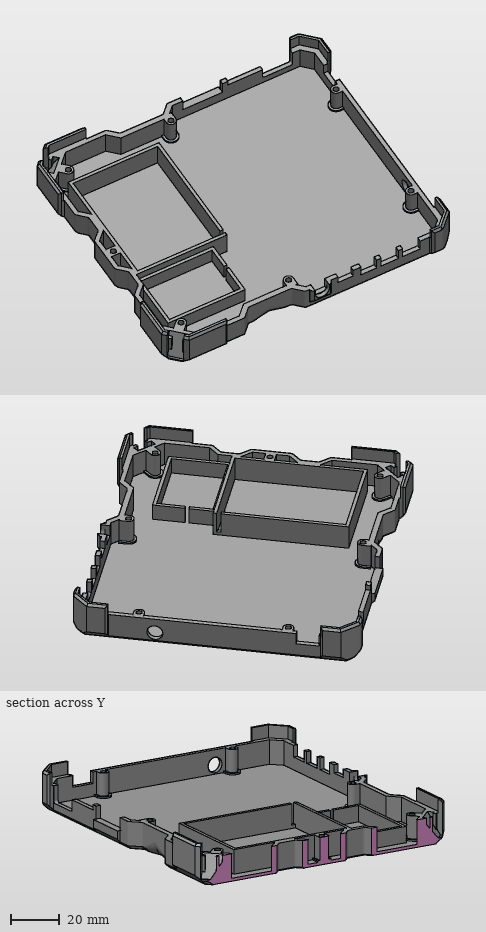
import cadquery as cq
import math


width = 120.0
depth = 135.0
guard_height = 17.5

guard_bevel = 1.0
lid_lip = 1.0
lid_gap = 0.5
guard_step = guard_bevel + lid_lip + lid_gap
base_chamfer = 4.0
corner_chamfer = 1.9
wall = 2.0
wall_height = 12.0
floor = 1.5
rear_leg = 7.0
front_leg = 8.4
leg_growth = 2 - math.sqrt(2)
rear_guard_round = 3.2

guard_x = width / 2
guard_y = depth / 2
wall_x = guard_x - guard_step
wall_y = guard_y - guard_step
inside_x = wall_x - wall
inside_y = wall_y - wall
inside_front_leg = 11.1

rear_guard_end_x = 44.4
rear_guard_end_y = 55.6
front_guard_end_x = 33.2
front_guard_end_y = 40.8

recess_depth = 4.2
recess_round = 1.4
front_recess_x = 16.6
front_recess_half = 8.1
side_recess_y = -17.3
side_recess_half = 14.3
front_recess_bevel = 0.5
side_recess_bevel = 1.6
side_recess_wall = 2.4
grip_height = 6.2
grip_depth = 3.5
grip_end_scale = 0.2
grip_arc_mid = (0.27, 0.43)

hole_d = 2.4
boss_d = 4.5
boss_foot_d = 6.6
foot_height = 2.2
rear_boss_x = (-30.0, 32.3)
rear_boss_y = 61.2
side_boss = (48.9, -6.0)
corner_boss = (46.8, -55.5)
front_boss_y = -60.9
boss_reach = 2.7
side_boss_reach = 3.6
corner_boss_reach = 4.6

box_wall = 1.5
box_front = -58.9
large_box = (-41.0, 15.5, -16.0)
small_box = (large_box[1], 42.0, -22.5)
small_box_height = 8.5
wire_gap = 1.6
wire_gap_x = 27.7
wire_slit = 1.8
wire_slit_bottom = 3.0

strap_mouth = 7.0
strap_throat = 4.6
strap_bar = 8.6
strap_back = 6.6
strap_bar_depth = 2.7
strap_bottom = 2.5
strap_ramp = 5.7

deep_opening = (41.0, 55.1, 4.6)
shallow_opening = (24.7, 41.0, 9.7)
ledge_opening = (3.4, 22.1, 6.5)
jack_opening = (0.7, 7.3, 7.0)
right_openings = ((42.9, 51.2, 7.0), (32.8, 40.9, 7.0), (23.2, 30.6, 7.0), (12.4, 19.6, 8.5), jack_opening)
opening_round = 1.0
ledge_x = -58.9
ledge_top = ledge_opening[2]
rear_opening = (-43.5, -33.9, 7.0)

jack_z = 9.9
jack_d = jack_opening[1] - jack_opening[0]
jack_y = (jack_opening[0] + jack_opening[1]) / 2
jack_collar = 10.1
jack_collar_x = 59.4
jack_collar_bottom = 4.6
jack_collar_bevel = 1.4
rear_hole_x = 25.0
rear_hole_z = 5.4
rear_hole_d = 6.6


def box(x0, x1, y0, y1, z0, z1):
    size = (x1 - x0, y1 - y0, z1 - z0)
    return cq.Workplane("XY").box(*size, centered=False).translate((x0, y0, z0))


def prism(points, z0, z1):
    return cq.Workplane("XY").workplane(offset=z0).polyline(points).close().extrude(z1 - z0)


def cut_corner_block(half_x, half_y, rear, front, z0, z1):
    """Rectangular block with its four upright corners cut at 45 degrees."""
    points = [
        (half_x, half_y - rear), (half_x - rear, half_y),
        (rear - half_x, half_y), (-half_x, half_y - rear),
        (-half_x, front - half_y), (front - half_x, -half_y),
        (half_x - front, -half_y), (half_x, front - half_y),
    ]
    return prism(points, z0, z1)


def offset_block(inset, z0, z1):
    """Guard outline moved inward by the inset."""
    shrink = leg_growth * inset
    return cut_corner_block(guard_x - inset, guard_y - inset, rear_leg - shrink, front_leg - shrink, z0, z1)


def guard_region(sign_x, end_x, sign_y, end_y):
    """Plan area of one guard, with its two ends bevelled."""
    points = [
        (end_x, end_y), (end_x, guard_y - guard_bevel), (end_x + guard_bevel, guard_y),
        (guard_x, guard_y), (guard_x, end_y + guard_bevel), (guard_x - guard_bevel, end_y),
    ]
    return prism([(sign_x * x, sign_y * y) for x, y in points], 0, guard_height)


def make_guards():
    block = offset_block(0, 0, guard_height)
    side_edges = cq.selectors.BoxSelector(
        (-width, guard_y - rear_leg - lid_gap, 0), (width, guard_y - rear_leg + lid_gap, guard_height))
    rounded = block.edges("|Z").edges(side_edges).fillet(rear_guard_round)
    block = block.faces("<Z").edges().chamfer(corner_chamfer)
    square = box(-guard_x, guard_x, -guard_y, guard_y, 0, guard_height)
    block = block.intersect(square.faces("<Z").edges().chamfer(base_chamfer))
    block = block.faces(">Z").edges().chamfer(guard_bevel)
    block = block.intersect(rounded)
    block = block.cut(offset_block(guard_step - lid_gap, wall_height, guard_height))
    guards = []
    for sign in (-1, 1):
        guards.append(block.intersect(guard_region(sign, rear_guard_end_x, 1, rear_guard_end_y)))
        guards.append(block.intersect(guard_region(sign, front_guard_end_x, -1, front_guard_end_y)))
    return guards


def recess_points(half, growth=0.0):
    """Trapezoid opening toward -Y at the origin, with its back and 45 degree sides moved outward."""
    mouth_half = half + growth * math.sqrt(2)
    back = recess_depth + growth
    return [(-mouth_half - back, -back), (mouth_half + back, -back),
            (mouth_half - back, back), (back - mouth_half, back)]


def recess_cutter(half, bevel):
    """Recess with rounded upright corners and a bevel at the floor underside."""
    flange = half + 2 * recess_round
    cutter = prism(recess_points(half), 0, wall_height)
    cutter = cutter.cut(box(-2 * half, 2 * half, -2 * recess_depth, 0, 0, wall_height))
    cutter = cutter.union(box(-flange, flange, -recess_depth, 0, 0, wall_height))
    inner_half = half + recess_round
    edges = cq.selectors.BoxSelector(
        (-inner_half, -recess_round, 0), (inner_half, 2 * recess_depth, wall_height))
    cutter = cutter.edges("|Z").edges(edges).fillet(recess_round)
    flare = cq.Workplane("XY").polyline(recess_points(half, bevel)).close().extrude(bevel, taper=45)
    return cutter.union(flare)


def recess_lining(half, thickness):
    return prism(recess_points(half, thickness), floor, wall_height)


def recess_places(front_tool, side_tool):
    """Two copies of the front tool on the front wall and one side tool on each side wall."""
    placed = []
    for sign in (-1, 1):
        placed.append(front_tool.translate((sign * front_recess_x, -wall_y, 0)))
        turned = side_tool.rotate((0, 0, 0), (0, 0, 1), 90 * sign)
        placed.append(turned.translate((sign * wall_x, side_recess_y, 0)))
    return placed


def make_grip(sign):
    """Rounded undercut on the bottom edge of a side recess, tallest at the middle."""
    half = side_recess_half - recess_depth
    face_x = wall_x - recess_depth

    def section(y, scale):
        h = grip_height * scale
        d = grip_depth * scale
        plane = cq.Plane((face_x, y, 0), xDir=(-1, 0, 0), normal=(0, 1, 0))
        return (cq.Workplane(plane).moveTo(0, 0).lineTo(0, h)
                .threePointArc((grip_arc_mid[0] * d, grip_arc_mid[1] * h), (d, 0)).close().wires().val())

    tool = cq.Workplane("XY")
    for end in (-1, 1):
        end_section = section(side_recess_y + end * half, grip_end_scale)
        loft = cq.Solid.makeLoft([section(side_recess_y, 1), end_section], True)
        tool = tool.add(cq.Workplane(loft))
    tool = tool.combine()
    return tool if sign > 0 else tool.mirror("YZ")


def make_tray():
    tray = offset_block(guard_step, 0, wall_height).faces("<Z").edges().chamfer(base_chamfer - guard_step)
    for guard in make_guards():
        tray = tray.union(guard)
    front_cutter = recess_cutter(front_recess_half, front_recess_bevel)
    side_cutter = recess_cutter(side_recess_half, side_recess_bevel)
    for cutter in recess_places(front_cutter, side_cutter):
        tray = tray.cut(cutter)
    inset = guard_step + wall
    cavity = cut_corner_block(
        inside_x, inside_y, rear_leg - leg_growth * inset, inside_front_leg, floor, wall_height)
    front_lining = recess_lining(front_recess_half, wall)
    side_lining = recess_lining(side_recess_half, side_recess_wall)
    for lining in recess_places(front_lining, side_lining):
        cavity = cavity.cut(lining)
    return tray.cut(cavity)


def add_boss(body, x, y, angle, reach):
    """Screw boss with a wider foot, joined to the wall in the direction of the angle."""
    for size, top in ((boss_d, wall_height), (boss_foot_d, foot_height)):
        post = cq.Workplane("XY").circle(size / 2).extrude(top - floor)
        post = post.union(box(0, reach, -size / 2, size / 2, 0, top - floor))
        body = body.union(post.rotate((0, 0, 0), (0, 0, 1), angle).translate((x, y, floor)))
    return body.cut(cq.Workplane("XY").center(x, y).circle(hole_d / 2).extrude(wall_height))


def add_bosses(body):
    for x in rear_boss_x:
        body = add_boss(body, x, rear_boss_y, 90, boss_reach)
    for sign in (-1, 1):
        side_angle = 0 if sign > 0 else 180
        body = add_boss(body, sign * side_boss[0], side_boss[1], side_angle, side_boss_reach)
        body = add_boss(body, sign * corner_boss[0], corner_boss[1], -90 + sign * 45, corner_boss_reach)
    body = add_boss(body, 0, front_boss_y, -90, boss_reach)
    return add_boss(body, 0, front_boss_y, 90, boss_reach)


def compartment(left, right, rear, top):
    outer = box(left, right, box_front, rear, floor, top)
    inner = box(left + box_wall, right - box_wall, box_front + box_wall, rear - box_wall, floor, top)
    return outer.cut(inner)


def add_compartments(body):
    body = body.union(compartment(*large_box, wall_height)).union(compartment(*small_box, small_box_height))
    gap_x = wire_gap_x - wire_gap / 2
    rear = small_box[2]
    body = body.cut(box(gap_x, gap_x + wire_gap, rear - box_wall, rear, floor, wall_height))
    slit_right = large_box[1] - box_wall
    rear = large_box[2]
    slit_left = slit_right - wire_slit
    return body.cut(box(slit_left, slit_right, rear - box_wall, rear, wire_slit_bottom, wall_height))


def cut_strap_slot(body, sign):
    """Slot in a front corner: wide mouth, narrow throat, wide pocket at the back, ramp as its floor."""
    bar_front = strap_bar_depth - strap_back
    slot = (cq.Workplane("XZ")
            .polyline([(-strap_back, wall_height), (strap_ramp - strap_back, strap_bottom),
                       (guard_step, strap_bottom), (guard_step, guard_height), (-strap_back, guard_height)])
            .close().extrude(strap_bar / 2, both=True))
    beside_throat = box(bar_front, -guard_step, strap_throat / 2, strap_bar, 0, guard_height)
    beside_mouth = box(-guard_step, guard_step, strap_mouth / 2, strap_bar, 0, guard_height)
    for stock in (beside_throat, beside_mouth):
        slot = slot.cut(stock).cut(stock.mirror("XZ"))
    x = sign * (guard_x - front_leg / 2)
    y = front_leg / 2 - guard_y
    return body.cut(slot.rotate((0, 0, 0), (0, 0, 1), -90 + sign * 45).translate((x, y, 0)))


def cut_side_openings(body):
    def opening(inner_x, front, rear, bottom):
        x0, x1 = sorted((inner_x, math.copysign(wall_x, inner_x)))
        return box(x0, x1, front, rear, bottom, wall_height)

    body = body.cut(opening(-inside_x, *deep_opening).edges("|X and <Z").fillet(opening_round))
    for place in (shallow_opening, ledge_opening):
        body = body.cut(opening(-inside_x, *place))
    for place in right_openings:
        body = body.cut(opening(inside_x, *place))
    return body


def add_ledge(body):
    front, rear, _ = ledge_opening
    bevel_z = base_chamfer - guard_x - ledge_x
    profile = [(-wall_x, ledge_top), (ledge_x, ledge_top), (ledge_x, bevel_z),
               (-wall_x, base_chamfer - guard_step)]
    ledge = cq.Workplane("XZ").polyline(profile).close().extrude(front - rear)
    return body.union(ledge.translate((0, front, 0)))


def add_jack_collar(body):
    collar = box(wall_x, jack_collar_x, jack_y - jack_collar / 2, jack_y + jack_collar / 2,
                 jack_collar_bottom, wall_height)
    collar = collar.faces(">X").edges("not >Z").chamfer(jack_collar_bevel)
    length = jack_collar_x - wall_x
    bore = cq.Workplane("YZ").center(jack_y, jack_z).circle(jack_d / 2).extrude(length)
    mouth = cq.Workplane("YZ").center(jack_y, jack_z + jack_d / 2).rect(jack_d, jack_d).extrude(length)
    bore = bore.union(mouth)
    return body.union(collar.cut(bore.translate((wall_x, 0, 0))))


def cut_rear_openings(body):
    left, right, bottom = rear_opening
    body = body.cut(box(left, right, inside_y, wall_y, bottom, wall_height))
    hole = cq.Workplane("XZ").center(rear_hole_x, rear_hole_z).circle(rear_hole_d / 2).extrude(-wall)
    return body.cut(hole.translate((0, inside_y, 0)))


result = make_tray()
for side in (-1, 1):
    result = result.cut(make_grip(side))
result = add_bosses(add_compartments(result))
for side in (-1, 1):
    result = cut_strap_slot(result, side)
result = cut_side_openings(result)
result = add_jack_collar(add_ledge(result))
result = cut_rear_openings(result).clean()